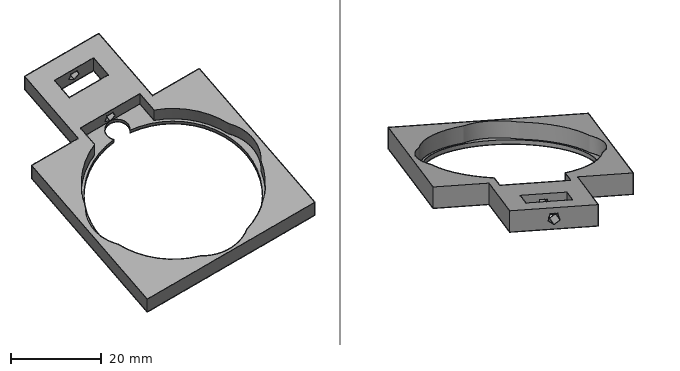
import cadquery as cq
import math

length = 64.6
width = 45.2
thickness = 5.0
frame_length = 44.1
tab_length = length - frame_length
tab_width = 20.0

lip_thickness = 1.05
bore_radius = 19.65
pocket_radius = 20.3
seat_x = tab_length + frame_length / 2

lobe_count = 4
lobe_radius = 10.35
lobe_reach = 21.4
lobe_offset = lobe_reach - lobe_radius

recess_width = 16.0
notch_radius = 2.8
notch_x = 21.25
recess_start = notch_x - notch_radius

window_start = 4.7
window_length = 5.6
window_width = 10.5
channel_sides = 5
channel_radius = 1.4


def block(x_start, size_x, size_y, z_start=0.0):
    """Box centred on the X axis, from z_start up to the top face."""
    profile = cq.Workplane("XY", origin=(x_start + size_x / 2, 0, z_start)).rect(size_x, size_y)
    return profile.extrude(thickness - z_start)


def disc(x, y, radius, z_start=0.0):
    """Upright cylinder from z_start up to the top face."""
    return cq.Workplane("XY", origin=(x, y, z_start)).circle(radius).extrude(thickness - z_start)


def seat():
    """Bore, pocket and lobes."""
    cutter = disc(seat_x, 0, bore_radius).union(disc(seat_x, 0, pocket_radius, lip_thickness))
    for index in range(lobe_count):
        angle = 2 * math.pi * index / lobe_count
        lobe_x = seat_x + lobe_offset * math.cos(angle)
        lobe_y = lobe_offset * math.sin(angle)
        cutter = cutter.union(disc(lobe_x, lobe_y, lobe_radius, lip_thickness))
    return cutter


def channel():
    """Pentagonal passage at mid-height, one corner down, from the tab end to the notch."""
    corners = []
    for index in range(channel_sides):
        angle = 2 * math.pi * index / channel_sides - math.pi / 2
        corners.append((channel_radius * math.cos(angle), channel_radius * math.sin(angle)))
    return cq.Workplane("YZ", origin=(0, 0, thickness / 2)).polyline(corners).close().extrude(notch_x)


plate = block(tab_length, frame_length, width).union(block(0, tab_length, tab_width))
recess = block(recess_start, seat_x - recess_start, recess_width, lip_thickness)
notch = disc(notch_x, 0, notch_radius)
window = block(window_start, window_length, window_width)

result = plate.cut(seat()).cut(recess).cut(notch).cut(window).cut(channel())